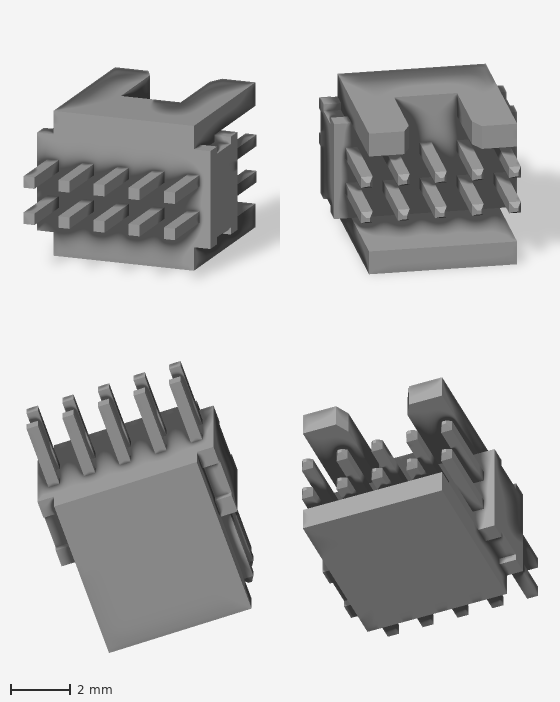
import cadquery as cq

body_width = 5.08
body_height = 5.08
body_length = 5.715
base_length = 2.52
wall_thickness = 0.825
base_height = body_height - 2 * wall_thickness

overall_width = 6.27
ear_width = (overall_width - body_width) / 2
notch_length = 1.27
notch_depth = 0.25

slot_width = 2.16
flare_width = 0.25
flare_length = 2 * flare_width

columns = 5
rows = 2
pitch = 1.27
pin_size = 0.40
overall_length = 8.0
tail_length = overall_length - body_length
tip_recess = 0.16
tip_length = 0.24
tip_size = 0.14


def box(width, length, height, y_start, x_center=0, z_center=0):
    """Box centred in X and Z that starts at y_start and runs toward +Y."""
    y_center = y_start + length / 2
    return cq.Workplane("XY").box(width, length, height).translate((x_center, y_center, z_center))


def make_housing():
    shell = box(body_width, body_length, body_height, 0)
    cavity = box(body_width, body_length - base_length, base_height, base_length)
    ears = box(overall_width, base_length, base_height, 0)
    return shell.cut(cavity).union(ears)


def cut_ear_notches(housing):
    notch_start = (base_length - notch_length) / 2
    x_center = (body_width + ear_width) / 2
    z_center = (base_height - notch_depth) / 2
    for x_side in (-1, 1):
        for z_side in (-1, 1):
            x = x_side * x_center
            z = z_side * z_center
            notch = box(ear_width, notch_length, notch_depth, notch_start, x, z)
            housing = housing.cut(notch)
    return housing


def make_key_slot():
    half_slot = slot_width / 2
    half_mouth = half_slot + flare_width
    flare_start = body_length - flare_length
    return (
        cq.Workplane("XY", origin=(0, 0, base_height / 2))
        .moveTo(-half_slot, base_length)
        .lineTo(half_slot, base_length)
        .lineTo(half_slot, flare_start)
        .lineTo(half_mouth, body_length)
        .lineTo(-half_mouth, body_length)
        .lineTo(-half_slot, flare_start)
        .close()
        .extrude(wall_thickness)
    )


def make_pin(x, z):
    shoulder = body_length - tip_recess - tip_length
    post = box(pin_size, tail_length + shoulder, pin_size, -tail_length, x, z)
    tip = (
        cq.Workplane("XZ", origin=(x, shoulder, z))
        .rect(pin_size, pin_size)
        .workplane(offset=-tip_length)
        .rect(tip_size, tip_size)
        .loft(ruled=True)
    )
    return post.union(tip)


def add_pins(housing):
    for column in range(columns):
        x = (column - (columns - 1) / 2) * pitch
        for row in range(rows):
            z = (row - (rows - 1) / 2) * pitch
            housing = housing.union(make_pin(x, z))
    return housing


housing = make_housing()
housing = cut_ear_notches(housing)
housing = housing.cut(make_key_slot())
result = add_pins(housing)